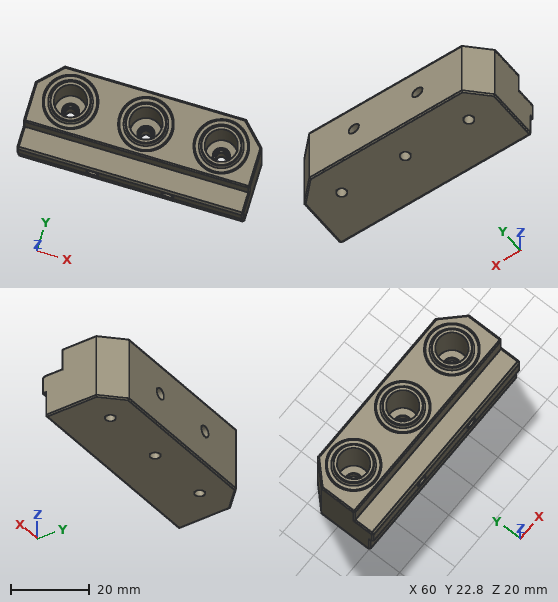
import cadquery as cq


length = 60.0
block_height = 19.0
back_y = 8.5
upper_front_y = -8.25
lower_front_y = -13.25
lip_front_y = -14.25
lip_bottom_z = 7.1
lip_top_z = 12.9
corner_cut = 6.0
edge_chamfer = 0.4
lip_chamfer = 0.6

mount_hole_dia = 3.2
mount_hole_pitch = 20.0
mount_hole_z = (lip_bottom_z + lip_top_z) / 2

bush_count = 3
bush_pitch = 20.0
bush_dia = 14.05
bush_rim_chamfer = 0.3
pocket_mouth_chamfer = 0.1
bush_length = 14.0
bush_bottom_z = block_height - bush_length

collar_dia = 10.45
collar_foot_dia = 11.45
collar_height = 1.0
collar_foot_height = (collar_foot_dia - collar_dia) / 2
collar_chamfer = 0.2

bore_dia = 8.45
floor_thickness = 2.0
floor_hole_dia = 4.1
floor_hole_chamfer = 0.2

drain_dia = 2.8
drain_chamfer = 0.2

pick_margin = 0.05

bush_xs = [(i - (bush_count - 1) / 2) * bush_pitch for i in range(bush_count)]


def edges_near(y, z):
    """Selector for edges of the bar whose midpoint lies at the given Y and Z."""
    low_corner = (-length, y - pick_margin, z - pick_margin)
    high_corner = (length, y + pick_margin, z + pick_margin)
    return cq.selectors.BoxSelector(low_corner, high_corner)


def make_block_blank():
    """Stepped bar with a front lip, cut rear corners and chamfered edges."""
    profile = [
        (back_y, 0),
        (back_y, block_height),
        (upper_front_y, block_height),
        (upper_front_y, lip_top_z),
        (lip_front_y, lip_top_z),
        (lip_front_y, lip_bottom_z),
        (lower_front_y, lip_bottom_z),
        (lower_front_y, 0),
    ]
    bar = cq.Workplane("YZ").polyline(profile).close().extrude(length / 2, both=True)
    bar = bar.edges("|Z and >Y").chamfer(corner_cut)
    bar = bar.edges("|X and <Y").chamfer(lip_chamfer)

    plain_edges = (
        edges_near(upper_front_y, lip_top_z)
        + edges_near(lower_front_y, lip_bottom_z)
        + edges_near(lip_front_y + lip_chamfer, lip_top_z)
        + edges_near(lip_front_y, lip_top_z - lip_chamfer)
        + edges_near(lip_front_y + lip_chamfer, lip_bottom_z)
        + edges_near(lip_front_y, lip_bottom_z + lip_chamfer)
        + edges_near(back_y, block_height / 2)
        + edges_near(back_y - corner_cut, block_height / 2)
    )
    return bar.edges(cq.selectors.InverseSelector(plain_edges)).chamfer(edge_chamfer)


def make_block():
    """Block with its bush pockets, drain holes and mounting holes."""
    block = make_block_blank()
    for x in bush_xs:
        block = block.cut(make_pocket().translate((x, 0, 0)))
    mount_holes = (
        cq.Workplane("XZ", origin=(0, back_y, 0))
        .pushPoints([(side * mount_hole_pitch / 2, mount_hole_z) for side in (-1, 1)])
        .circle(mount_hole_dia / 2)
        .extrude(back_y - lip_front_y)
    )
    return block.cut(mount_holes)


def make_pocket():
    """Cutter for one bush pocket with a chamfered mouth and the drain hole below it."""
    section = [
        (0, 0),
        (drain_dia / 2, 0),
        (drain_dia / 2, bush_bottom_z - drain_chamfer),
        (drain_dia / 2 + drain_chamfer, bush_bottom_z),
        (bush_dia / 2, bush_bottom_z),
        (bush_dia / 2, block_height - pocket_mouth_chamfer),
        (bush_dia / 2 + pocket_mouth_chamfer, block_height),
        (0, block_height),
    ]
    return cq.Workplane("XZ").polyline(section).close().revolve(360, (0, 0), (0, 1))


def make_bush(x):
    """Collared cup turned about its own axis, centred at the given X."""
    top_z = block_height + collar_height
    floor_z = bush_bottom_z + floor_thickness
    section = [
        (floor_hole_dia / 2, bush_bottom_z),
        (bush_dia / 2, bush_bottom_z),
        (bush_dia / 2, block_height - bush_rim_chamfer),
        (bush_dia / 2 - bush_rim_chamfer, block_height),
        (collar_foot_dia / 2, block_height),
        (collar_dia / 2, block_height + collar_foot_height),
        (collar_dia / 2, top_z - collar_chamfer),
        (collar_dia / 2 - collar_chamfer, top_z),
        (bore_dia / 2, top_z),
        (bore_dia / 2, floor_z),
        (floor_hole_dia / 2 + floor_hole_chamfer, floor_z),
        (floor_hole_dia / 2, floor_z - floor_hole_chamfer),
    ]
    bush = cq.Workplane("XZ").polyline(section).close().revolve(360, (0, 0), (0, 1))
    return bush.translate((x, 0, 0))


block = make_block()
bushes = [make_bush(x) for x in bush_xs]

result = cq.Compound.makeCompound([block.val(), *[bush.val() for bush in bushes]])